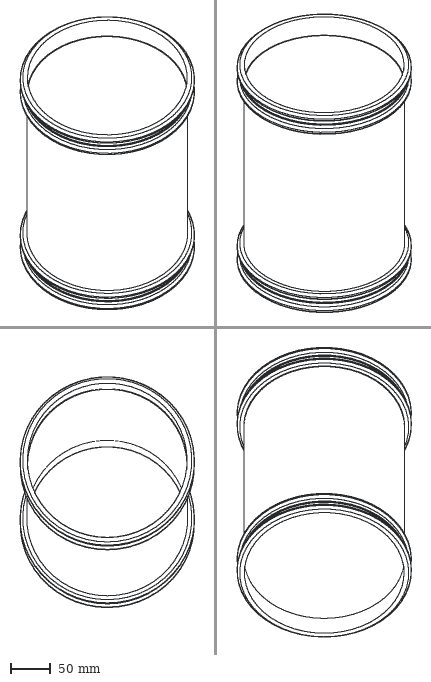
import cadquery as cq

TOTAL_HEIGHT = 308.8
BORE_DIAMETER = 200.0
TUBE_DIAMETER = 201.8
NECK_DIAMETER = 211.8
BEAD_DIAMETER = 218.4

COLLAR_HEIGHT = 29.4
BEAD_LAND = 2.3
BEAD_RISE = (BEAD_DIAMETER - NECK_DIAMETER) / 2
BEAD_HEIGHT = BEAD_LAND + 2 * BEAD_RISE

GROOVE_WIDTH = 1.2
GROOVE_DEPTH = 1.0

FULL_TURN = 360

BORE_RADIUS = BORE_DIAMETER / 2
TUBE_RADIUS = TUBE_DIAMETER / 2
NECK_RADIUS = NECK_DIAMETER / 2
BEAD_RADIUS = BEAD_DIAMETER / 2
UPPER_COLLAR_BASE = TOTAL_HEIGHT - COLLAR_HEIGHT


def sleeve(outer_radius, bottom, height):
    """Plain cylindrical sleeve round the common bore."""
    return (
        cq.Workplane("XY")
        .workplane(offset=bottom)
        .circle(outer_radius)
        .circle(BORE_RADIUS)
        .extrude(height)
    )


def bead(bottom):
    """Raised ring with a flat land between two sloping flanks."""
    land_bottom = bottom + BEAD_RISE
    land_top = land_bottom + BEAD_LAND
    outline = [
        (BORE_RADIUS, bottom),
        (NECK_RADIUS, bottom),
        (BEAD_RADIUS, land_bottom),
        (BEAD_RADIUS, land_top),
        (NECK_RADIUS, bottom + BEAD_HEIGHT),
        (BORE_RADIUS, bottom + BEAD_HEIGHT),
    ]
    return cq.Workplane("XZ").polyline(outline).close().revolve(FULL_TURN, axisStart=(0, 0), axisEnd=(0, 1))


def neck_groove(collar_bottom):
    """Cutting ring for the groove halfway up a collar."""
    groove_bottom = collar_bottom + (COLLAR_HEIGHT - GROOVE_WIDTH) / 2
    return (
        cq.Workplane("XY")
        .workplane(offset=groove_bottom)
        .circle(BEAD_RADIUS)
        .circle(NECK_RADIUS - GROOVE_DEPTH)
        .extrude(GROOVE_WIDTH)
    )


def collar(bottom):
    """End collar with a bead along each edge and a grooved neck between them."""
    body = sleeve(NECK_RADIUS, bottom, COLLAR_HEIGHT)
    for bead_bottom in (bottom, bottom + COLLAR_HEIGHT - BEAD_HEIGHT):
        body = body.union(bead(bead_bottom))
    return body.cut(neck_groove(bottom))


tube = sleeve(TUBE_RADIUS, 0, UPPER_COLLAR_BASE).union(collar(0))

top_collar = collar(UPPER_COLLAR_BASE)

result = cq.Compound.makeCompound([tube.val(), top_collar.val()])